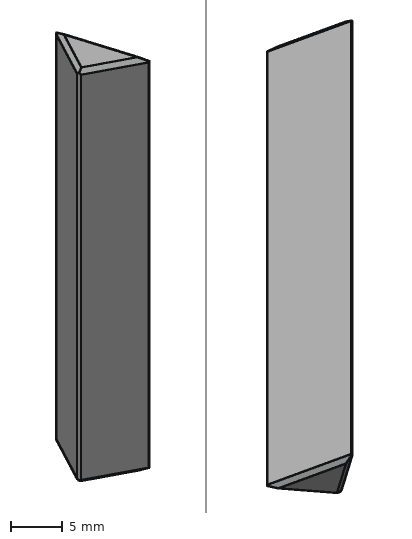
import cadquery as cq

length = 50.0
width = 10.2
depth = 5.1
front_flat = 0.45
end_chamfer = 0.5

apex_depth = depth + front_flat / 2
half_base = apex_depth

sharp_bar = (
    cq.Workplane("XY")
    .polyline([(-half_base, 0), (half_base, 0), (0, -apex_depth)])
    .close()
    .extrude(length)
    .faces("<Z or >Z")
    .chamfer(end_chamfer)
)

envelope = cq.Workplane("XY").box(width, depth, length, centered=(True, False, False))
envelope = envelope.translate((0, -depth, 0))

result = sharp_bar.intersect(envelope)